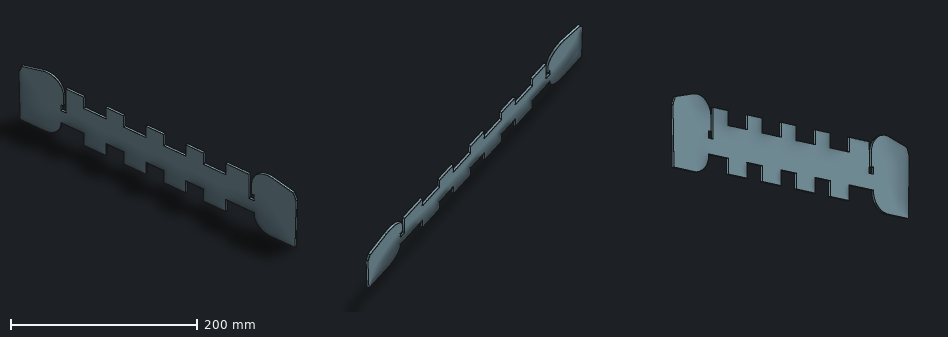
import cadquery as cq
import math

length = 362.0
height = 86.2
thickness = 3.0
half_length = length / 2
top = height / 2
bottom = -top

strip_half_length = 119.5
strip_top = 16.0
strip_bottom = -20.3
upper_tooth_top = 32.2
lower_tooth_bottom = -37.5
tooth_width = 23.0
gap_width = 29.0
gap_count = 4
tooth_pitch = tooth_width + gap_width

paddle_inner = 122.8
neck_end = 126.0
slot_floor = -2.5
slot_step = 5.0
corner_radius = 21.7
shoulder_x = 177.5
widest_z = 25.5
foot_x = 179.5
top_slope = math.radians(15)

diagonal = corner_radius * math.sqrt(0.5)


def extrude(sketch):
    return sketch.extrude(thickness / 2, both=True)


def box(left, right, low, high):
    """Full-thickness rectangle between the given X and Z limits."""
    sketch = cq.Workplane("XZ").center((left + right) / 2, (low + high) / 2)
    return extrude(sketch.rect(right - left, high - low))


def make_strip():
    strip = box(-strip_half_length, strip_half_length, strip_bottom, upper_tooth_top)
    for index in range(gap_count):
        left = -strip_half_length + tooth_width + index * tooth_pitch
        right = left + gap_width
        strip = strip.cut(box(left, right, strip_top, upper_tooth_top))
        strip = strip.union(box(left, right, lower_tooth_bottom, strip_bottom))
    return strip


def make_paddle():
    """Right-hand paddle with a sloped top and rounded inner corners."""
    upper_x = paddle_inner + corner_radius
    upper_z = top - corner_radius
    lower_x = neck_end + corner_radius
    lower_z = bottom + corner_radius

    slope_x = upper_x + corner_radius * math.sin(top_slope)
    slope_z = upper_z + corner_radius * math.cos(top_slope)
    shoulder_z = slope_z - (shoulder_x - slope_x) * math.tan(top_slope)

    outline = (
        cq.Workplane("XZ")
        .moveTo(neck_end, slot_step)
        .lineTo(paddle_inner, slot_step)
        .lineTo(paddle_inner, upper_z)
        .threePointArc((upper_x - diagonal, upper_z + diagonal), (slope_x, slope_z))
        .lineTo(shoulder_x, shoulder_z)
        .lineTo(half_length, widest_z)
        .lineTo(foot_x, bottom)
        .lineTo(lower_x, bottom)
        .threePointArc((lower_x - diagonal, lower_z - diagonal), (neck_end, lower_z))
        .close()
    )
    return extrude(outline)


right_paddle = make_paddle()
left_paddle = right_paddle.mirror("YZ")
necks = box(-neck_end, neck_end, strip_bottom, slot_floor)
result = make_strip().union(necks).union(right_paddle).union(left_paddle).clean()